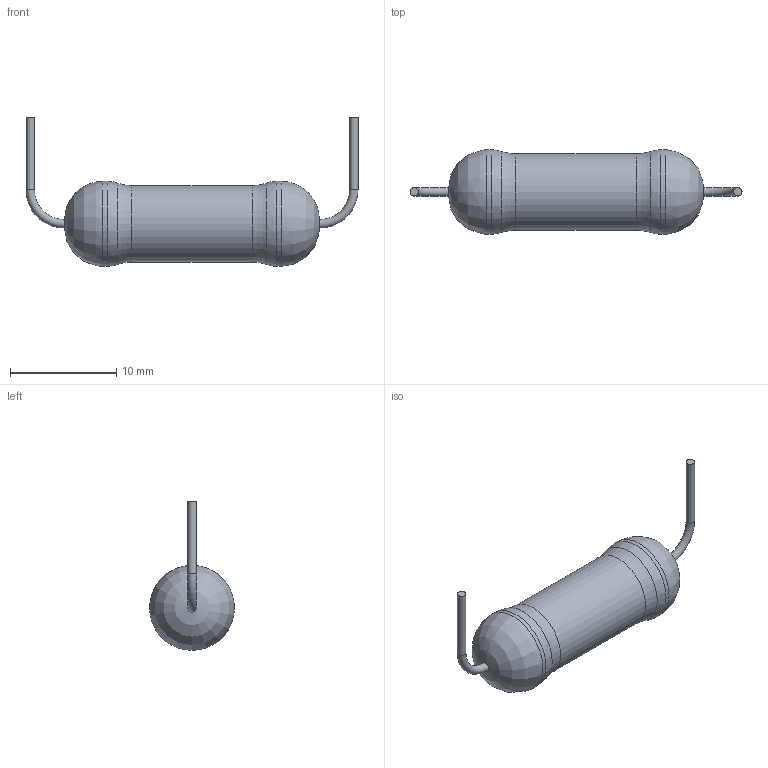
import cadquery as cq
import math

wire_diameter = 0.8
lead_pitch = 30.48
lead_top = 10.0
bend_radius = 3.2

body_length = 24.0
head_radius = 4.0
barrel_radius = 3.6
head_land = 0.4
neck_convex_radius = 3.0
neck_concave_radius = 4.0

wire_radius = wire_diameter / 2
half_length = body_length / 2
nose_radius = head_radius - wire_radius
land_outer = half_length - nose_radius
land_inner = land_outer - head_land

neck_radii = neck_convex_radius + neck_concave_radius
neck_angle = math.acos(1 - (head_radius - barrel_radius) / neck_radii)
neck_length = neck_radii * math.sin(neck_angle)


def arc_point(radius, angle):
    """Offset along and across an arc that starts parallel to the axis."""
    return radius * math.sin(angle), radius * (1 - math.cos(angle))


def mirrored(point):
    return -point[0], point[1]


def make_body():
    """Barrel with a rounded head at each end, bored for the wire."""
    convex_mid_run, convex_mid_drop = arc_point(neck_convex_radius, neck_angle / 2)
    convex_run, convex_drop = arc_point(neck_convex_radius, neck_angle)
    concave_mid_run, concave_mid_rise = arc_point(neck_concave_radius, neck_angle / 2)
    nose_run, nose_drop = arc_point(nose_radius, math.pi / 4)

    nose_tip = (half_length, wire_radius)
    nose_mid = (land_outer + nose_run, head_radius - nose_drop)
    land_end = (land_outer, head_radius)
    land_start = (land_inner, head_radius)
    convex_mid = (land_inner - convex_mid_run, head_radius - convex_mid_drop)
    inflection = (land_inner - convex_run, head_radius - convex_drop)
    barrel_end = (land_inner - neck_length, barrel_radius)
    concave_mid = (barrel_end[0] + concave_mid_run, barrel_radius + concave_mid_rise)

    profile = (
        cq.Workplane("XZ")
        .moveTo(*mirrored(nose_tip))
        .threePointArc(mirrored(nose_mid), mirrored(land_end))
        .lineTo(*mirrored(land_start))
        .threePointArc(mirrored(convex_mid), mirrored(inflection))
        .threePointArc(mirrored(concave_mid), mirrored(barrel_end))
        .lineTo(*barrel_end)
        .threePointArc(concave_mid, inflection)
        .threePointArc(convex_mid, land_start)
        .lineTo(*land_end)
        .threePointArc(nose_mid, nose_tip)
        .close()
    )
    return profile.revolve(360, (0, 0, 0), (1, 0, 0))


def make_wire():
    """Straight run along the axis with a quarter bend up to each lead."""
    lead_x = lead_pitch / 2
    bend_start = lead_x - bend_radius
    bend_run, bend_rise = arc_point(bend_radius, math.pi / 4)
    bend_mid = (bend_start + bend_run, bend_rise)

    path = (
        cq.Workplane("XZ")
        .moveTo(-lead_x, lead_top)
        .lineTo(-lead_x, bend_radius)
        .threePointArc(mirrored(bend_mid), (-bend_start, 0))
        .lineTo(bend_start, 0)
        .threePointArc(bend_mid, (lead_x, bend_radius))
        .lineTo(lead_x, lead_top)
    )
    section = cq.Workplane("XY", origin=(-lead_x, 0, lead_top)).circle(wire_radius)
    return section.sweep(path)


body = make_body()
wire = make_wire()
result = cq.Compound.makeCompound([body.val(), wire.val()])